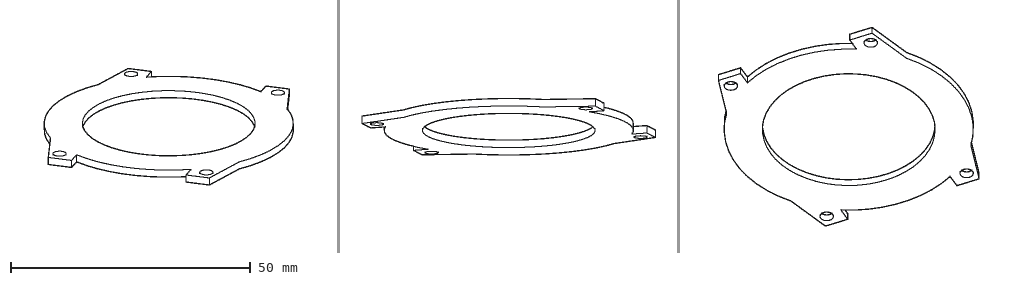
import cadquery as cq
import math

ring_diameter = 52.0
bore_diameter = 36.0
thickness = 1.6

overall_height = 52.05
ear_inner_x = 12.6
ear_outer_x = 17.75
flank_end_y = 15.6
hole_diameter = 2.75
hole_spacing_x = 32.3
hole_spacing_y = 46.6

ring_radius = ring_diameter / 2
ear_tip_y = overall_height / 2
flank_end_x = math.sqrt(ring_radius**2 - flank_end_y**2)


def make_ear(side_x, side_y):
    """Ear in the quadrant given by the two signs, rooted inside the ring."""
    corners = [
        (ear_inner_x, flank_end_y),
        (ear_inner_x, ear_tip_y),
        (ear_outer_x, ear_tip_y),
        (flank_end_x, flank_end_y),
    ]
    outline = [(side_x * x, side_y * y) for x, y in corners]
    return cq.Workplane("XY").polyline(outline).close().extrude(thickness)


plate = cq.Workplane("XY").circle(ring_radius).extrude(thickness)
for side_x in (-1, 1):
    for side_y in (-1, 1):
        plate = plate.union(make_ear(side_x, side_y))

bore = cq.Workplane("XY").circle(bore_diameter / 2).extrude(thickness)
ear_holes = (
    cq.Workplane("XY")
    .rect(hole_spacing_x, hole_spacing_y, forConstruction=True)
    .vertices()
    .circle(hole_diameter / 2)
    .extrude(thickness)
)
result = plate.cut(bore).cut(ear_holes)